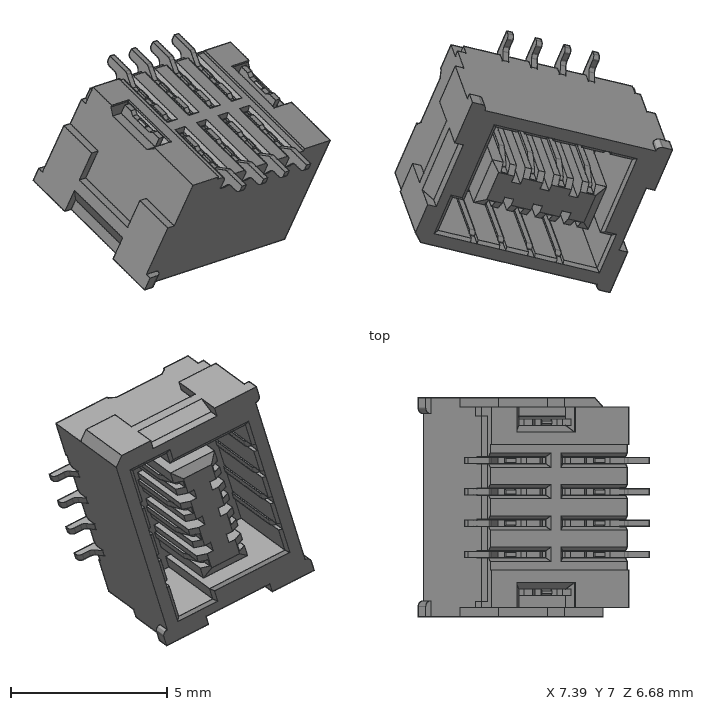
import cadquery as cq

TILT = 28

half_width = 2.58
overall_length = 7.0
half_length = overall_length / 2
body_half_length = 3.2
height = 4.265
flange_depth = half_length - body_half_length
flange_top = 2.52

row_span = 3.0
contact_count = 4
pitch = row_span / (contact_count - 1)
contact_thickness = 0.2
contact_offset = -0.01
contact_rows = [i * pitch - row_span / 2 for i in range(contact_count)]
gap_rows = [y + pitch / 2 for y in contact_rows[:-1]]

window_half_width = 1.195
notch_floor = 1.36
window_top = 0.91
window_inner_top = 0.41

foot_reach = 2.77
foot_height = 0.52
foot_inner_y = 2.99
foot_radius = 0.18

centre_drop = 0.095
centre_top = height - centre_drop
centre_half_length = 2 * pitch
ledge_depth = 0.21
ledge_z = 3.98
ledge_corner_z = 3.56
ledge_corner_front_y = -3.0
ledge_corner_back_y = 2.91

cavity_half_width = 2.16
cavity_step_x = 0.665
narrow_half_length = 2.5
wide_half_length = 2.89
mouth_chamfer = 0.11
mouth_depth = 0.08
cavity_ceiling = 3.17

tongue_half_width = 0.83
tongue_half_length = 2 * pitch
tongue_chamfer = 0.3
tongue_chamfer_height = 0.185
tongue_web_half = 0.295
tongue_gap_width = 0.31
groove_width = 0.235
tongue_groove_floor = 0.55

tail_end = 3.285
tail_top = 4.35
tail_bottom = 4.03
tail_radius = 0.15
tail_root_z = 3.645
tail_bend_x = 2.51
tail_bend_radius = 0.18
tail_slope_end = (2.405, 4.295)
tail_underside_end = (2.9, tail_bottom)
tail_neck = (2.745, 3.94)
tail_neck_radius = 0.18
contact_top = 4.125
contact_dip = 4.03
contact_dip_rim_x = 1.05
contact_dip_start_x = 1.18
contact_dip_end_x = 2.02
contact_inner_x = 0.295
contact_inner_z = 4.01
contact_ramp_start_x = 0.405
contact_ramp_end_x = 0.545
boss_x = 1.61
boss_length = 0.355
contact_boss_height = 0.1
contact_boss_side = 0.04
clip_boss_height = 0.06
clip_boss_side = 0.07
wall_arm_tip = 0.46
wall_arm_radius = 0.15
tongue_arm_tip = 0.4
tongue_arm_radius = 0.12
tongue_arm_bulge = 0.885
tongue_arm_bulge_z = 1.18

funnel_slope = 0.11
funnel_depth = 0.11

clip_x = -0.4
clip_half_width = 0.85
clip_y = 2.715
clip_top = 4.35
clip_thickness = 0.21
clip_dip = 4.24
clip_dip_rim = 0.545
clip_dip_base = 0.405
pocket_floor = 3.985
pocket_slope = 0.21
pocket_rim_z = pocket_floor + pocket_slope
pocket_inner_y = 2.405
pocket_groove_y = 2.9
pocket_groove_width = 0.03
pocket_groove_depth = 0.075


def block(x0, x1, y0, y1, z0, z1):
    """Box given by its limits along each axis."""
    centre = ((x0 + x1) / 2, (y0 + y1) / 2, (z0 + z1) / 2)
    return cq.Workplane("XY").box(x1 - x0, y1 - y0, z1 - z0).translate(centre)


def frustum(lower, lower_z, upper, upper_z):
    """Solid between two rectangles (x0, x1, y0, y1) at different heights."""

    def outline(limits, z):
        x0, x1, y0, y1 = limits
        corners = [(x0, y0, z), (x1, y0, z), (x1, y1, z), (x0, y1, z)]
        return cq.Wire.makePolygon([cq.Vector(*c) for c in corners], close=True)

    wires = [outline(lower, lower_z), outline(upper, upper_z)]
    return cq.Workplane(cq.Solid.makeLoft(wires, True))


def both_ends(solid):
    return solid.union(solid.mirror("XZ"))


def both_sides(solid):
    return solid.union(solid.mirror("YZ"))


def plate(profile, y, thickness):
    """Closed XZ profile turned into a sheet centred on y."""
    return profile.extrude(thickness / 2, both=True).translate((0, y, 0))


def end_flange():
    """Flange on the -Y end, with its upper notch and ramped latch window."""
    flange = block(-half_width, half_width, -half_length, -body_half_length, 0, flange_top)
    notch = block(-window_half_width, window_half_width, -half_length, -body_half_length,
                  notch_floor, flange_top)
    window = (
        cq.Workplane("YZ")
        .polyline([(-half_length, 0), (-body_half_length, 0),
                   (-body_half_length, window_inner_top), (-half_length, window_top)])
        .close()
        .extrude(window_half_width, both=True)
    )
    return flange.cut(notch).cut(window)


def corner_foot():
    """Foot at the -X, -Y corner, rounded on its inner edge."""
    foot = block(-foot_reach, -half_width, -half_length, -foot_inner_y, 0, foot_height)
    return foot.edges("|Z and <X and >Y").fillet(foot_radius)


def polarising_corner():
    """Corner at +X, +Y that is removed to leave a bevel and no foot."""
    return (
        cq.Workplane("XY")
        .polyline([(half_width - flange_depth, half_length), (half_width, body_half_length),
                   (foot_reach, body_half_length), (foot_reach, half_length)])
        .close()
        .extrude(flange_top)
    )


def side_ledge():
    """Recess along the top of the -X side, deeper at its two ends."""
    inner_x = -half_width + ledge_depth
    long_cut = block(-half_width, inner_x, -body_half_length, body_half_length, ledge_z, height)
    front = block(-half_width, inner_x, -body_half_length, ledge_corner_front_y,
                  ledge_corner_z, height)
    back = block(-half_width, inner_x, ledge_corner_back_y, body_half_length,
                 ledge_corner_z, height)
    return long_cut.union(front).union(back)


def outer_shell():
    body = block(-half_width, half_width, -body_half_length, body_half_length, 0, height)
    body = body.union(both_ends(end_flange()))
    back_left = corner_foot().mirror("XZ")
    front_right = corner_foot().mirror("YZ")
    body = body.union(corner_foot()).union(back_left).union(front_right)
    body = body.cut(polarising_corner())
    lowered_top = block(-half_width, half_width, -centre_half_length, centre_half_length,
                        centre_top, height)
    return body.cut(lowered_top).cut(side_ledge())


def cavity():
    """Stepped opening with a bevelled mouth."""
    parts = [(-cavity_half_width, narrow_half_length), (cavity_step_x, wide_half_length)]
    opening = cq.Workplane("XY")
    for x0, half_y in parts:
        mouth = (x0, cavity_half_width, -half_y, half_y)
        inner_y = half_y - mouth_chamfer
        inner_x0 = x0 + mouth_chamfer
        inner_x1 = cavity_half_width - mouth_chamfer
        inside = (inner_x0, inner_x1, -inner_y, inner_y)
        opening = opening.add(frustum(mouth, 0, inside, mouth_depth))
        opening = opening.add(block(*inside, mouth_depth, cavity_ceiling))
    return opening.combine()


def tongue():
    """Central tongue with a bevelled tip and clearance gaps between contacts."""
    tip_x = tongue_half_width - tongue_chamfer
    tip_y = tongue_half_length - tongue_chamfer
    shank = (-tongue_half_width, tongue_half_width, -tongue_half_length, tongue_half_length)
    solid = frustum((-tip_x, tip_x, -tip_y, tip_y), 0, shank, tongue_chamfer_height)
    solid = solid.union(block(*shank, tongue_chamfer_height, cavity_ceiling))
    for y in gap_rows:
        gap = block(tongue_web_half, tongue_half_width,
                    y - tongue_gap_width / 2, y + tongue_gap_width / 2, 0, cavity_ceiling)
        solid = solid.cut(both_sides(gap))
    return solid


def contact_openings(y):
    """Grooves and funnel for the contact on the +X side of one row."""
    y0, y1 = y - groove_width / 2, y + groove_width / 2
    openings = block(cavity_half_width - mouth_chamfer, cavity_half_width, y0, y1,
                     0, cavity_ceiling)
    openings = openings.union(
        block(tongue_groove_floor, tongue_half_width, y0, y1, 0, cavity_ceiling))
    rim_y0, rim_y1 = y0 - funnel_slope, y1 + funnel_slope
    funnel = frustum(
        (contact_inner_x, half_width, y0, y1), centre_top - funnel_depth,
        (contact_inner_x - funnel_slope, half_width, rim_y0, rim_y1), centre_top)
    slot = block(contact_inner_x, half_width, y0, y1, tail_root_z, centre_top)
    return openings.union(funnel).union(slot)


def press_boss(x, y, z, thickness, height, side):
    """Raised press-in mark with sloping long sides."""
    half_x, half_y = boss_length / 2, thickness / 2
    top_y = half_y - side
    return frustum((x - half_x, x + half_x, y - half_y, y + half_y), z,
                   (x - half_x, x + half_x, y - top_y, y + top_y), z + height)


def contact(y):
    """Contact on the +X side of one row: head with tail, wall arm and tongue arm."""
    head = (
        cq.Workplane("XZ")
        .moveTo(contact_inner_x, tail_root_z)
        .lineTo(contact_inner_x, contact_inner_z)
        .lineTo(contact_ramp_start_x, contact_inner_z)
        .lineTo(contact_ramp_end_x, contact_top)
        .lineTo(contact_dip_rim_x, contact_top)
        .lineTo(contact_dip_start_x, contact_dip)
        .lineTo(contact_dip_end_x, contact_dip)
        .lineTo(*tail_slope_end)
        .radiusArc((tail_bend_x, tail_top), tail_bend_radius)
        .lineTo(tail_end, tail_top)
        .lineTo(tail_end, tail_bottom + tail_radius)
        .radiusArc((tail_end - tail_radius, tail_bottom), tail_radius)
        .lineTo(*tail_underside_end)
        .radiusArc(tail_neck, -tail_neck_radius)
        .lineTo(half_width, tail_root_z)
        .close()
    )
    wall_face = cavity_half_width - wall_arm_radius
    wall_arm = (
        cq.Workplane("XZ")
        .moveTo(cavity_half_width, wall_arm_tip)
        .radiusArc((wall_face, wall_arm_tip + wall_arm_radius), wall_arm_radius)
        .lineTo(wall_face, cavity_ceiling)
        .lineTo(cavity_half_width, cavity_ceiling)
        .close()
    )
    tongue_arm = (
        cq.Workplane("XZ")
        .moveTo(tongue_groove_floor, tongue_arm_tip)
        .radiusArc((tongue_groove_floor + tongue_arm_radius, tongue_arm_tip + tongue_arm_radius),
                   -tongue_arm_radius)
        .lineTo(tongue_arm_bulge, tongue_arm_bulge_z)
        .lineTo(tongue_arm_bulge, cavity_ceiling)
        .lineTo(tongue_groove_floor, cavity_ceiling)
        .close()
    )
    centre_y = y + contact_offset
    boss = press_boss(boss_x, centre_y, contact_dip, contact_thickness,
                      contact_boss_height, contact_boss_side)
    solid = plate(head, centre_y, contact_thickness).union(boss)
    for arm in (wall_arm, tongue_arm):
        solid = solid.union(plate(arm, centre_y, contact_thickness))
    return solid


def clip_pocket():
    """Pocket in the -Y end of the top face, open to the end and sloping to its floor."""
    x0, x1 = clip_x - clip_half_width, clip_x + clip_half_width
    rim = (x0 - pocket_slope, x1 + pocket_slope, -body_half_length, -pocket_inner_y)
    floor = (x0, x1, -body_half_length, -pocket_inner_y - pocket_slope)
    return frustum(floor, pocket_floor, rim, pocket_rim_z).union(
        block(*rim, pocket_rim_z, height))


def clip():
    """Hold-down clip standing in the -Y pocket, with a dip and press-in mark on top."""
    profile = (
        cq.Workplane("XZ")
        .polyline([
            (clip_x - clip_half_width, pocket_floor), (clip_x - clip_half_width, clip_top),
            (clip_x - clip_dip_rim, clip_top), (clip_x - clip_dip_base, clip_dip),
            (clip_x + clip_dip_base, clip_dip), (clip_x + clip_dip_rim, clip_top),
            (clip_x + clip_half_width, clip_top), (clip_x + clip_half_width, pocket_floor)])
        .close()
    )
    boss = press_boss(clip_x, -clip_y, clip_dip, clip_thickness, clip_boss_height, clip_boss_side)
    return plate(profile, -clip_y, clip_thickness).union(boss)


def pocket_groove():
    """Fine groove across the floor of the +Y pocket."""
    return block(clip_x - clip_half_width, clip_x + clip_half_width,
                 pocket_groove_y - pocket_groove_width / 2,
                 pocket_groove_y + pocket_groove_width / 2,
                 pocket_floor - pocket_groove_depth, pocket_floor)


connector = outer_shell().cut(cavity()).union(tongue())
for row in contact_rows:
    connector = connector.cut(both_sides(contact_openings(row)))
for row in contact_rows:
    connector = connector.union(both_sides(contact(row)))
connector = connector.cut(both_ends(clip_pocket())).cut(pocket_groove())
connector = connector.union(both_ends(clip()))

result = connector.rotate((0, 0, 0), (0, 1, 0), TILT)